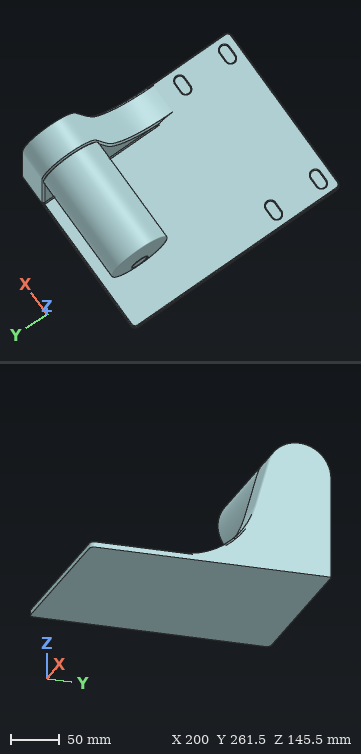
import cadquery as cq
import math

plate_x = 200.0
plate_y = 261.5
plate_t = 6.8
plate_corner_r = 5.2
plate_edge_chamfer = 1.0

slot_length = 23.3
slot_width = 12.5
slot_depth = 1.0
slot_xs = (19.0, 181.0)
slot_ys = (15.2, 71.5)

total_height = 145.5
arm_face_x = 161.5
arm_t = plate_x - arm_face_x
cylinder_d = 69.8
head_r = cylinder_d / 2
head_y = plate_y - head_r
head_z = total_height - head_r
sweep_r = 85.0
sweep_end_y = 96.7
sweep_z = plate_t + sweep_r
arm_inner_chamfer = 2.0
arm_outer_fillet = 2.0

foot_width = 1.3
foot_height = 1.8

cylinder_start_x = 38.7
cylinder_length = arm_face_x - cylinder_start_x
cylinder_edge_fillet = 1.0

ring_outer_d = 20.5
ring_inner_d = 19.0
ring_floor_outer_d = 19.9
ring_floor_inner_d = 19.5
ring_depth = 0.3
ring_drop = 23.0


def arm_outline(inset=0.0):
    """Side outline of the arm in the YZ plane, drawn in by inset all round except at the bottom."""
    top_r = head_r - inset
    low_r = sweep_r + inset
    back_y = plate_y - inset
    dy = head_y - sweep_end_y
    dz = head_z - sweep_z
    flank = math.atan2(dz, dy) - math.acos((top_r + low_r) / math.hypot(dy, dz))

    def on_sweep(angle):
        return (sweep_end_y + low_r * math.cos(angle), sweep_z + low_r * math.sin(angle))

    head_tangent = (head_y - top_r * math.cos(flank), head_z - top_r * math.sin(flank))
    return (
        cq.Workplane("YZ")
        .moveTo(back_y, 0)
        .lineTo(back_y, head_z)
        .threePointArc((head_y, head_z + top_r), head_tangent)
        .lineTo(*on_sweep(flank))
        .threePointArc(on_sweep((flank - math.pi / 2) / 2), on_sweep(-math.pi / 2))
        .lineTo(sweep_end_y, 0)
        .close()
    )


def make_plate():
    plate = cq.Workplane("XY").box(plate_x, plate_y, plate_t, centered=False)
    plate = plate.edges("|Z").fillet(plate_corner_r)
    return plate.faces(">Z").edges().chamfer(plate_edge_chamfer)


def make_arm():
    arm = arm_outline().extrude(arm_t).translate((arm_face_x, 0, 0))
    arm = arm.faces("<X").edges("not <Z").chamfer(arm_inner_chamfer)
    return arm.faces(">X").edges("not <Z").fillet(arm_outer_fillet)


def make_foot():
    """Sloping strip between plate and arm, ending where it meets the arm's sloping edge."""
    strip = (
        cq.Workplane("XZ")
        .moveTo(arm_face_x - foot_width, plate_t)
        .lineTo(arm_face_x, plate_t + foot_height)
        .lineTo(arm_face_x, plate_t)
        .close()
        .extrude(-plate_y)
    )
    limit = arm_outline(arm_inner_chamfer).extrude(plate_x)
    return strip.intersect(limit)


def make_slot_recesses():
    centers = [(x, y) for x in slot_xs for y in slot_ys]
    return (
        cq.Workplane("XY", origin=(0, 0, plate_t))
        .pushPoints(centers)
        .slot2D(slot_length, slot_width)
        .extrude(-slot_depth, taper=45)
    )


def make_bracket():
    bracket = make_plate().union(make_arm()).union(make_foot())
    return bracket.cut(make_slot_recesses())


def make_ring_groove():
    ring_z = head_z - ring_drop
    floor_x = cylinder_start_x + ring_depth
    section = (
        cq.Workplane("XZ", origin=(0, head_y, 0))
        .moveTo(cylinder_start_x, ring_z + ring_inner_d / 2)
        .lineTo(floor_x, ring_z + ring_floor_inner_d / 2)
        .lineTo(floor_x, ring_z + ring_floor_outer_d / 2)
        .lineTo(cylinder_start_x, ring_z + ring_outer_d / 2)
        .close()
    )
    return section.revolve(360, (0, ring_z, 0), (1, ring_z, 0))


def make_cylinder():
    cylinder = (
        cq.Workplane("YZ", origin=(cylinder_start_x, head_y, head_z))
        .circle(cylinder_d / 2)
        .extrude(cylinder_length)
    )
    cylinder = cylinder.edges("%CIRCLE").fillet(cylinder_edge_fillet)
    return cylinder.cut(make_ring_groove())


bracket = make_bracket()
cylinder = make_cylinder()
result = cq.Compound.makeCompound([bracket.val(), cylinder.val()])